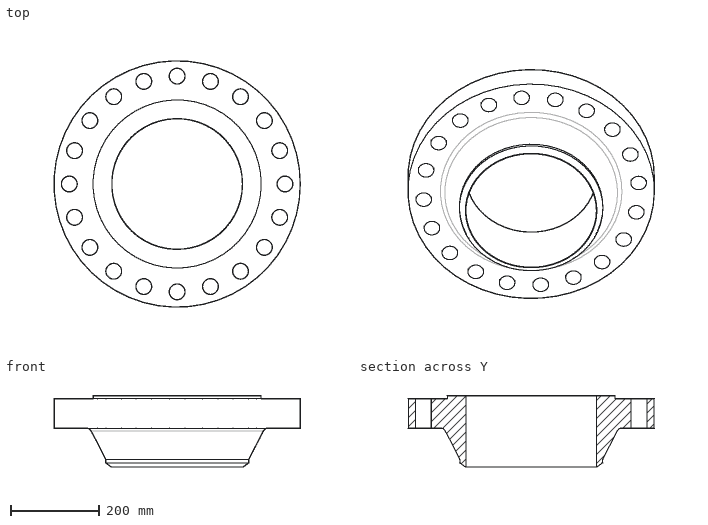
import cadquery as cq

flange_diameter = 559.0
flange_thickness = 67.0
total_height = 162.0

face_diameter = 381.0
face_height = 6.5

hub_top_diameter = 398.0
hub_fillet_radius = 11.0
weld_end_diameter = 325.0
weld_end_height = 18.0
bevel_height = 10.0
bevel_root_diameter = 298.5
bore_diameter = 295.5

bolt_count = 20
bolt_circle_diameter = 489.0
bolt_hole_diameter = 35.0

flange_top = total_height - face_height
flange_bottom = flange_top - flange_thickness

slab_margin = 3.0


def revolved_body():
    """Disc, raised face, tapered hub and bevelled weld end in one profile."""
    profile = (
        cq.Workplane("XZ")
        .moveTo(bore_diameter / 2, 0)
        .lineTo(bevel_root_diameter / 2, 0)
        .lineTo(weld_end_diameter / 2, bevel_height)
        .lineTo(weld_end_diameter / 2, weld_end_height)
        .lineTo(hub_top_diameter / 2, flange_bottom)
        .lineTo(flange_diameter / 2, flange_bottom)
        .lineTo(flange_diameter / 2, flange_top)
        .lineTo(face_diameter / 2, flange_top)
        .lineTo(face_diameter / 2, total_height)
        .lineTo(bore_diameter / 2, total_height)
        .close()
    )
    body = profile.revolve(360, (0, 0, 0), (0, 1, 0))

    reach = hub_top_diameter / 2 + slab_margin
    hub_corner = cq.selectors.BoxSelector(
        (-reach, -reach, flange_bottom - slab_margin),
        (reach, reach, flange_bottom + slab_margin),
        boundingbox=True,
    )
    return body.edges(hub_corner).fillet(hub_fillet_radius)


def bolt_holes():
    """Cutters for the ring of through bolt holes, the first one on +X."""
    return (
        cq.Workplane("XY")
        .workplane(offset=flange_bottom)
        .polarArray(bolt_circle_diameter / 2, 0, 360, bolt_count)
        .circle(bolt_hole_diameter / 2)
        .extrude(flange_thickness)
    )


result = revolved_body().cut(bolt_holes())